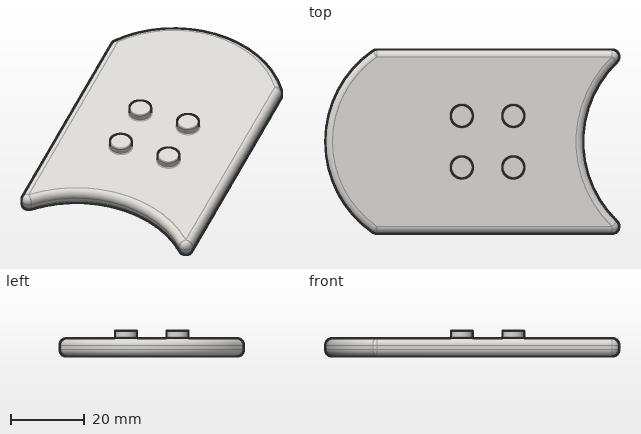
import cadquery as cq
import math

length = 79.75
width = 50.0
thickness = 5.0
edge_radius = 2.0
end_radius = 30.0

peg_diameter = 6.0
peg_height = 2.0
peg_spacing = 13.95
peg_group_x = 44.0
peg_fillet = 0.25


def make_plate():
    """Grow a thin core evenly on all sides, which rounds every edge and corner."""
    core_half_width = width / 2 - edge_radius
    core_thickness = thickness - 2 * edge_radius
    round_radius = end_radius - edge_radius
    hollow_radius = end_radius + edge_radius

    round_apex_x = edge_radius
    round_corner_x = end_radius - math.sqrt(round_radius**2 - core_half_width**2)
    hollow_corner_x = length - edge_radius
    hollow_depth = hollow_radius - math.sqrt(hollow_radius**2 - core_half_width**2)
    hollow_apex_x = hollow_corner_x - hollow_depth

    core = (
        cq.Workplane("XY", origin=(0, 0, edge_radius))
        .moveTo(round_corner_x, -core_half_width)
        .lineTo(hollow_corner_x, -core_half_width)
        .threePointArc((hollow_apex_x, 0), (hollow_corner_x, core_half_width))
        .lineTo(round_corner_x, core_half_width)
        .threePointArc((round_apex_x, 0), (round_corner_x, -core_half_width))
        .close()
        .extrude(core_thickness)
    )
    skin = core.shell(edge_radius, kind="arc")
    return skin.union(core)


def add_pegs(plate):
    """Add a square group of pegs with rounded rims and feet."""
    pegs = (
        cq.Workplane("XY", origin=(peg_group_x, 0, thickness))
        .rarray(peg_spacing, peg_spacing, 2, 2)
        .circle(peg_diameter / 2)
        .extrude(peg_height)
    )
    box_reach = peg_spacing / 2 + peg_diameter
    around_pegs = cq.selectors.BoxSelector(
        (peg_group_x - box_reach, -box_reach, thickness - peg_fillet),
        (peg_group_x + box_reach, box_reach, thickness + peg_height + peg_fillet),
    )
    rims_and_feet = plate.union(pegs).edges(around_pegs).edges("%CIRCLE")
    return rims_and_feet.fillet(peg_fillet)


result = add_pegs(make_plate())